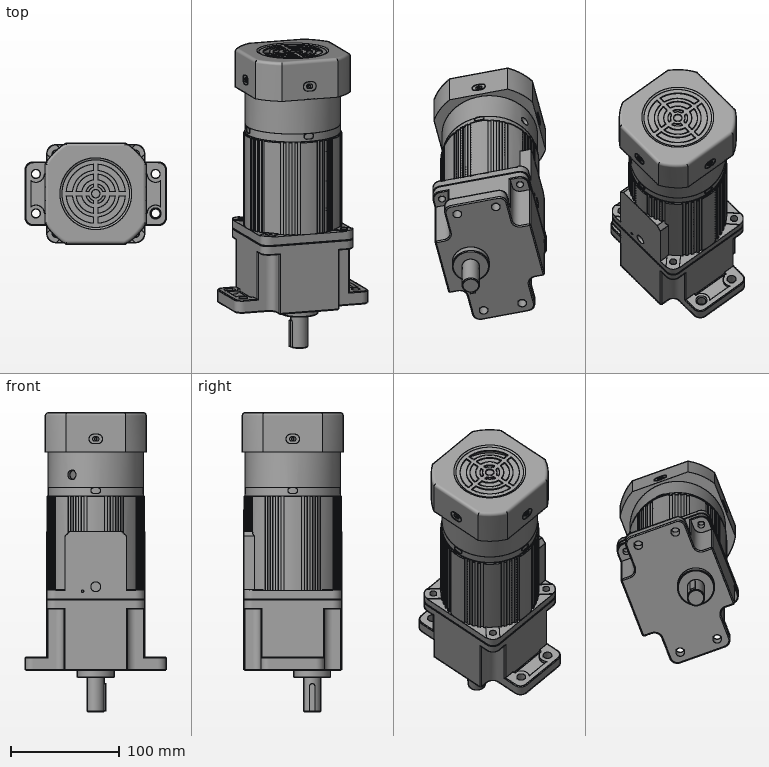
import cadquery as cq
import math


frame_side = 90.2
frame_half = frame_side / 2
flange_corner_radius = 8.2
flange_hole_diameter = 6.3
flange_hole_offset = 52.0 / math.sqrt(2)
seam_chamfer = 0.5
quarter_turns = (0, 90, 180, 270)

shaft_tip_z = -38.0
boss_bottom_z = -6.5
foot_top_z = 12.5
gearbox_flange_bottom_z = 56.5
gearbox_top_z = 65.2
motor_flange_top_z = 73.5
fins_top_z = 160.5
window_bottom_z = 162.8
motor_top_z = 168.0
cap_bottom_z = 200.8
cover_top_z = 237.0

column_arm_width = 58.5
column_inner_fillet = 7.2
column_edge_chamfer = 1.0
foot_length = 130.0
foot_corner_radius = 7.5
foot_edge_chamfer = 0.8
gearbox_flange_chamfer = 0.8
base_chamfer = 1.0
foot_hole_x = 55.0
foot_hole_y = 18.2
foot_hole_diameter = 8.0
foot_hole_countersink = 10.2
pocket_outer_x = 59.7
pocket_depth = 2.8
pocket_pad_radius = 7.7
pocket_inner_chamfer = 0.8

column_top_z = gearbox_flange_bottom_z + gearbox_flange_chamfer

shaft_y = 18.0
shaft_radius = 8.0
shaft_tip_chamfer = 0.8
boss_radius = 17.0
boss_chamfer = 0.8
key_width = 5.0
key_reach = 9.4
key_top_z = -12.0

motor_radius = frame_half
fins_top_chamfer = 0.8
fin_groove_width = 2.8
fin_groove_depth = 1.0
fin_groove_pitch = 6.8
fin_grooves_per_group = 4
fin_groups = 8
corner_pad_width = 12.5
corner_pad_height = 0.8
terminal_width = 56.6
terminal_top_z = 128.0
terminal_corner = 4.5
cable_hole_z = 77.0
cable_hole_diameter = 9.0
cable_hole_depth = 8.2
earth_hole_x = -12.0
earth_hole_z = 73.0
earth_hole_diameter = 2.2
earth_hole_depth = 2.8
spigot_radius = 43.5

cap_side = 93.0
cap_corner_radius = 54.0
collar_radius = 44.0
window_length = 9.0
cap_top_fillet = 3.0
cavity_radius = 40.2
roof_thickness = 2.0
vent_chamber_radius = 35.0
vent_chamber_depth = 11.0
partition_thickness = 2.8
recess_top_radius = 33.0
recess_floor_radius = 31.0
recess_depth = 0.8
vent_rings = [(6.5, 9.0), (13.0, 18.2), (21.5, 27.2)]
vent_spoke_width = 3.8
vent_centre_diameter = 7.7
screw_z = 212.8
screw_recess_length = 12.5
screw_recess_width = 8.8
screw_recess_depth = 0.5
screw_socket_length = 5.8
screw_socket_width = 4.0
screw_socket_depth = 1.0
screw_hole_diameter = 2.2
side_hole_angle = 240
side_hole_z = 179.8
side_hole_diameter = 8.5


def block(x_size, y_size, bottom_z, top_z):
    """Box centred on the Z axis between two heights."""
    height = top_z - bottom_z
    plane = cq.Workplane("XY", origin=(0, 0, bottom_z))
    return plane.box(x_size, y_size, height, centered=(True, True, False))


def disc(radius, bottom_z, top_z, y=0):
    """Upright cylinder between two heights."""
    return cq.Workplane("XY", origin=(0, y, bottom_z)).circle(radius).extrude(top_z - bottom_z)


def front_plane(y, z):
    """Sketch plane facing -Y, with X to the right and Z up."""
    return cq.Workplane("XZ", origin=(0, y, z))


def flange_holes(bottom_z, top_z):
    """Four screw holes on the frame diagonals."""
    pattern = cq.Workplane("XY", origin=(0, 0, bottom_z))
    pattern = pattern.rect(2 * flange_hole_offset, 2 * flange_hole_offset, forConstruction=True).vertices()
    return pattern.circle(flange_hole_diameter / 2).extrude(top_z - bottom_z)


def flange(bottom_z, top_z):
    """Square flange with rounded corners."""
    return block(frame_side, frame_side, bottom_z, top_z).edges("|Z").fillet(flange_corner_radius)


def gearbox_column():
    """Square column whose corners are cut back to clear the flange screws."""
    column = block(frame_side, column_arm_width, 0, column_top_z)
    column = column.union(block(column_arm_width, frame_side, 0, column_top_z))
    inner_half = (column_arm_width / 2 + frame_half) / 2
    inner_corners = cq.selectors.BoxSelector(
        (-inner_half, -inner_half, 0), (inner_half, inner_half, column_top_z)
    )
    column = column.edges("|Z").edges(inner_corners).fillet(column_inner_fillet)
    outer_edges = column.faces("<X or >X or <Y or >Y").edges("|Z")
    return outer_edges.chamfer(column_edge_chamfer)


def foot_pocket(side):
    """Shallow pocket in one foot, next to the column, leaving round pads at the holes."""
    floor_z = foot_top_z - pocket_depth
    length_x = pocket_outer_x - frame_half
    centre_x = side * (pocket_outer_x + frame_half) / 2
    pocket = block(length_x, 2 * foot_hole_y, floor_z, foot_top_z).translate((centre_x, 0, 0))
    inner_face = "<X" if side > 0 else ">X"
    pocket = pocket.faces(inner_face).edges("<Z").chamfer(pocket_inner_chamfer)
    for hole_y in (-foot_hole_y, foot_hole_y):
        pocket = pocket.cut(
            disc(pocket_pad_radius, floor_z, foot_top_z, hole_y).translate((side * foot_hole_x, 0, 0))
        )
    return pocket


def make_gearbox():
    foot = block(foot_length, column_arm_width, 0, foot_top_z).edges("|Z").fillet(foot_corner_radius)
    foot = foot.faces(">Z").edges().chamfer(foot_edge_chamfer)
    body = gearbox_column().union(foot)
    body = body.faces("<Z").edges().chamfer(base_chamfer)

    top_flange = flange(gearbox_flange_bottom_z, gearbox_top_z)
    top_flange = top_flange.faces("<Z").edges().chamfer(gearbox_flange_chamfer)
    top_flange = top_flange.faces(">Z").edges().chamfer(seam_chamfer)
    body = body.union(top_flange)

    boss = disc(boss_radius, boss_bottom_z, 0, shaft_y).faces("<Z").edges().chamfer(boss_chamfer)
    body = body.union(boss)
    body = body.cut(disc(shaft_radius, boss_bottom_z, 0, shaft_y))
    body = body.cut(flange_holes(gearbox_flange_bottom_z, gearbox_top_z))

    for side in (-1, 1):
        body = body.cut(foot_pocket(side))
        for hole_y in (-foot_hole_y, foot_hole_y):
            hole = disc(foot_hole_diameter / 2, 0, foot_top_z, hole_y)
            body = body.cut(hole.translate((side * foot_hole_x, 0, 0)))

    countersink_depth = (foot_hole_countersink - foot_hole_diameter) / 2
    countersink = cq.Solid.makeCone(
        foot_hole_diameter / 2,
        foot_hole_countersink / 2,
        countersink_depth,
        pnt=cq.Vector(foot_hole_x, -foot_hole_y, foot_top_z - countersink_depth),
    )
    return body.cut(cq.Workplane(countersink))


def make_shaft():
    """Shaft standing in the boss bore, with a fixed key that has a round upper end."""
    shaft = disc(shaft_radius, shaft_tip_z, 0, shaft_y).faces("<Z").edges().chamfer(shaft_tip_chamfer)
    key_round_z = key_top_z - key_width / 2
    key_plane = cq.Workplane("YZ", origin=(0, shaft_y, 0))
    key = (
        key_plane.moveTo(-key_width / 2, shaft_tip_z + shaft_tip_chamfer)
        .lineTo(-key_width / 2, key_round_z)
        .threePointArc((0, key_top_z), (key_width / 2, key_round_z))
        .lineTo(key_width / 2, shaft_tip_z + shaft_tip_chamfer)
        .close()
        .extrude(key_reach)
    )
    return shaft.union(key)


def fin_grooves():
    """Lengthwise grooves in eight groups, each centred between the axes and the diagonals."""
    grooves = cq.Workplane("XY")
    group_angle = 360 / fin_groups
    groove = block(2 * fin_groove_depth, fin_groove_width, motor_flange_top_z, fins_top_z)
    groove = groove.translate((motor_radius, 0, 0))
    for group in range(fin_groups):
        for index in range(fin_grooves_per_group):
            offset = (index - (fin_grooves_per_group - 1) / 2) * fin_groove_pitch
            angle = (group + 0.5) * group_angle + offset
            grooves = grooves.add(groove.rotate((0, 0, 0), (0, 0, 1), angle))
    return grooves


def terminal_block():
    """Flat terminal pad on the -Y side, running down into the flange."""
    height = terminal_top_z - motor_flange_top_z
    pad = front_plane(0, motor_flange_top_z).rect(terminal_width, 2 * height).extrude(frame_half)
    pad = pad.faces(">Z").edges("|Y").chamfer(terminal_corner)
    return pad.intersect(block(terminal_width, frame_side, motor_flange_top_z, terminal_top_z))


def corner_pads():
    """Raised screw seats running along both flange diagonals."""
    top_z = motor_flange_top_z + corner_pad_height
    bars = cq.Workplane("XY")
    for angle in (45, 135):
        bar = block(2 * frame_side, corner_pad_width, motor_flange_top_z, top_z)
        bars = bars.union(bar.rotate((0, 0, 0), (0, 0, 1), angle))
    return bars.intersect(flange(motor_flange_top_z, top_z))


def make_motor():
    body = disc(motor_radius, motor_flange_top_z, fins_top_z)
    for groove in fin_grooves().vals():
        body = body.cut(cq.Workplane(groove))
    body = body.intersect(
        disc(motor_radius, motor_flange_top_z, fins_top_z).faces(">Z").edges().chamfer(fins_top_chamfer)
    )
    base = flange(gearbox_top_z, motor_flange_top_z).faces("<Z").edges().chamfer(seam_chamfer)
    body = body.union(base).union(corner_pads()).union(terminal_block())

    body = body.union(disc(spigot_radius, fins_top_z, motor_top_z))

    body = body.cut(flange_holes(gearbox_top_z, motor_flange_top_z + corner_pad_height))
    cable_hole = front_plane(-frame_half, cable_hole_z).circle(cable_hole_diameter / 2)
    body = body.cut(cable_hole.extrude(-cable_hole_depth))
    earth_hole = front_plane(-frame_half, earth_hole_z).center(earth_hole_x, 0)
    earth_hole = earth_hole.circle(earth_hole_diameter / 2)
    return body.cut(earth_hole.extrude(-earth_hole_depth))


def roof_vents():
    """Concentric vent slots interrupted by a cross of spokes, and a centre hole."""
    bottom_z = cover_top_z - roof_thickness
    plane = cq.Workplane("XY", origin=(0, 0, bottom_z))
    vents = cq.Workplane("XY")
    for inner_radius, outer_radius in vent_rings:
        vents = vents.union(plane.circle(outer_radius).circle(inner_radius).extrude(roof_thickness))
    vents = vents.cut(block(vent_spoke_width, cap_side, bottom_z, cover_top_z))
    vents = vents.cut(block(cap_side, vent_spoke_width, bottom_z, cover_top_z))
    return vents.union(disc(vent_centre_diameter / 2, bottom_z, cover_top_z))


def screw_cut():
    """Stepped slot and through hole for one cover screw on the -Y side."""
    plane = front_plane(-cap_side / 2, screw_z)
    recess = plane.slot2D(screw_recess_length, screw_recess_width).extrude(-screw_recess_depth)
    socket = plane.slot2D(screw_socket_length, screw_socket_width).extrude(-screw_socket_depth)
    hole = plane.circle(screw_hole_diameter / 2).extrude(-cap_side / 2)
    return recess.union(socket).union(hole)


def collar_window():
    """Slot through the skirt on the -Y side that shows the motor spigot."""
    width = motor_top_z - window_bottom_z
    middle_z = (motor_top_z + window_bottom_z) / 2
    return front_plane(0, middle_z).slot2D(window_length, width).extrude(collar_radius)


def make_fan_cover():
    cap = block(cap_side, cap_side, cap_bottom_z, cover_top_z)
    cap = cap.intersect(disc(cap_corner_radius, cap_bottom_z, cover_top_z))
    cap = cap.faces(">Z").edges().fillet(cap_top_fillet)
    cover = cap.union(disc(collar_radius, fins_top_z, cap_bottom_z))
    cover = cover.cut(disc(spigot_radius, fins_top_z, motor_top_z))
    chamber_top_z = cover_top_z - roof_thickness
    chamber_floor_z = chamber_top_z - vent_chamber_depth
    cover = cover.cut(disc(cavity_radius, motor_top_z, chamber_floor_z - partition_thickness))
    cover = cover.cut(disc(vent_chamber_radius, chamber_floor_z, chamber_top_z))

    recess = cq.Solid.makeCone(
        recess_floor_radius,
        recess_top_radius,
        recess_depth,
        pnt=cq.Vector(0, 0, cover_top_z - recess_depth),
    )
    cover = cover.cut(cq.Workplane(recess)).cut(roof_vents())

    for angle in quarter_turns:
        cuts = screw_cut().union(collar_window())
        cover = cover.cut(cuts.rotate((0, 0, 0), (0, 0, 1), angle))
    side_hole = cq.Workplane("YZ", origin=(0, 0, side_hole_z)).circle(side_hole_diameter / 2)
    side_hole = side_hole.extrude(collar_radius)
    return cover.cut(side_hole.rotate((0, 0, 0), (0, 0, 1), side_hole_angle))


gearbox = make_gearbox()
shaft = make_shaft()
motor = make_motor()
fan_cover = make_fan_cover()

result = cq.Compound.makeCompound([gearbox.val(), shaft.val(), motor.val(), fan_cover.val()])